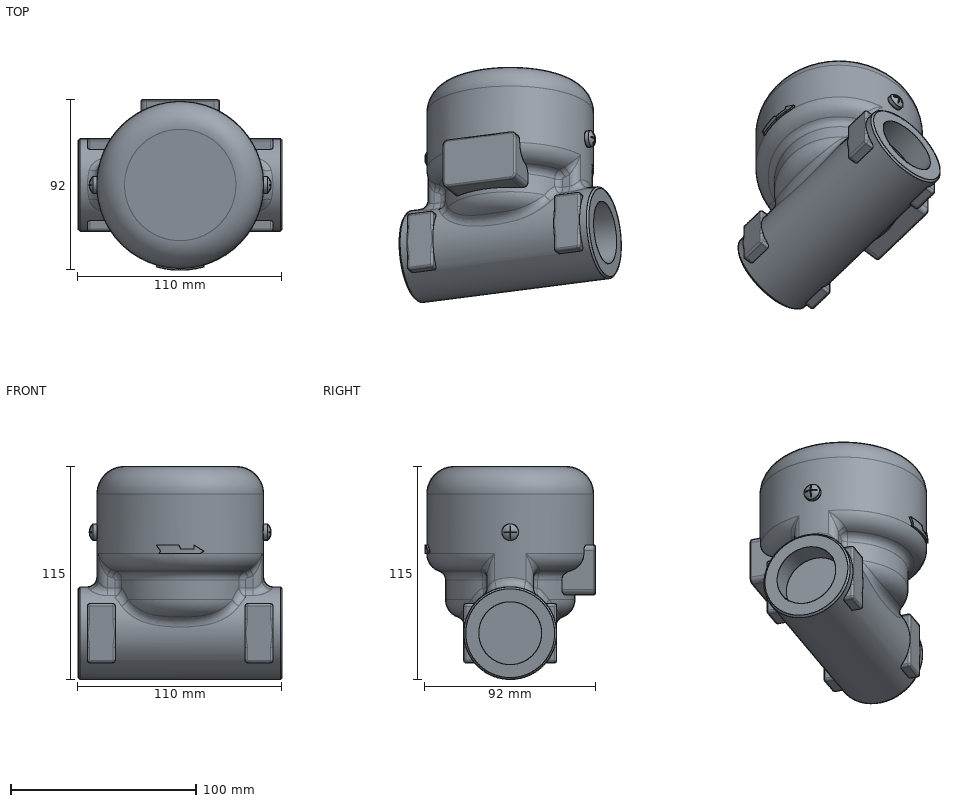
import cadquery as cq
import math


PIPE_LENGTH = 110.0
PIPE_RADIUS = 50.0 / 2
PIPE_CHAMFER = 1.0
BORE_DIAMETER = 33.9
BORE_DEPTH = 13.8

TOP_Z = 115 - PIPE_RADIUS
COVER_RADIUS = 90.0 / 2
COVER_ROUNDING = 15.0
BOWL_BOTTOM_Z = 42.9
NECK_RADIUS = 35.0
NECK_BOTTOM_Z = 18.2
BOWL_ROUNDING = 10.0
FOOT_WRAP = math.radians(30)
BLEND_RADIUS = BOWL_ROUNDING / 2

RIB_WIDTH = 25.1
RIB_TOP_Z = 49.6
RIB_NECK_BLEND = 4.0

PAD_LENGTH = 15.1
PAD_HEIGHT = 32.0
PAD_CENTRE_X = 42.5
PAD_SPAN = 50.1
PAD_CORNER_RADIUS = 1.5
PAD_ROUNDING = 1.3

BOSS_WIDTH = 42.3
BOSS_FACE_Y = 46.0
BOSS_BOTTOM_Z = 20.7
BOSS_TOP_Z = 47.6
BOSS_CORNER_RADIUS = 3.0
BOSS_EDGE_ROUNDING = 1.0

ARROW_RADIUS = 46.0
ARROW_Z = 44.3
ARROW_HALF_HEIGHT = 3.3
ARROW_SHAFT_HALF_HEIGHT = 1.3
ARROW_TAIL_X = -12.9
ARROW_NOTCH_X = -10.6
ARROW_FEATHER_END_X = -0.8
ARROW_SHAFT_START_X = 0.2
ARROW_HEAD_X = 7.4
ARROW_TIP_X = 12.8

SCREW_Z = 54.5
SCREW_RADIUS = 9.0 / 2
SCREW_SEAT_X = 44.7
SCREW_RIM_X = 47.0
SCREW_TIP_X = 49.1
SLOT_WIDTH = 0.5
SLOT_DEPTH = 1.0

SEAM_TOLERANCE = 0.02
RIM_TOLERANCE = 0.001


def along_x(radius, start_x, end_x, z=0.0):
    """Cylinder whose axis runs along X."""
    return cq.Workplane("YZ", origin=(start_x, 0, z)).circle(radius).extrude(end_x - start_x)


def make_chamber():
    """Domed chamber with its bowl, neck and rounded foot, turned around Z."""
    bowl_centre_r = COVER_RADIUS - BOWL_ROUNDING
    blend_centre_r = NECK_RADIUS + BLEND_RADIUS
    step_r = blend_centre_r - bowl_centre_r
    step_z = math.sqrt((BOWL_ROUNDING + BLEND_RADIUS) ** 2 - step_r**2)
    blend_centre_z = BOWL_BOTTOM_Z - step_z
    share = BOWL_ROUNDING / (BOWL_ROUNDING + BLEND_RADIUS)
    meeting_r = bowl_centre_r + share * step_r
    meeting_z = BOWL_BOTTOM_Z - share * step_z
    foot_end_r = NECK_RADIUS - BOWL_ROUNDING - BOWL_ROUNDING * math.sin(FOOT_WRAP)
    foot_end_z = NECK_BOTTOM_Z - BOWL_ROUNDING * math.cos(FOOT_WRAP)
    return (
        cq.Workplane("XZ")
        .moveTo(0, TOP_Z)
        .lineTo(COVER_RADIUS - COVER_ROUNDING, TOP_Z)
        .tangentArcPoint((COVER_RADIUS, TOP_Z - COVER_ROUNDING), relative=False)
        .lineTo(COVER_RADIUS, BOWL_BOTTOM_Z)
        .tangentArcPoint((meeting_r, meeting_z), relative=False)
        .tangentArcPoint((NECK_RADIUS, blend_centre_z), relative=False)
        .lineTo(NECK_RADIUS, NECK_BOTTOM_Z)
        .radiusArc((foot_end_r, foot_end_z), BOWL_ROUNDING)
        .lineTo(0, foot_end_z)
        .close()
        .revolve(360, (0, 0, 0), (0, 1, 0))
    )


def make_ribs():
    """Both ribs as one bar across the chamber, with its ends on the cover radius."""
    bar = cq.Workplane("XY").box(2 * COVER_RADIUS, RIB_WIDTH, RIB_TOP_Z, (True, True, False))
    drum = cq.Workplane("XY").circle(COVER_RADIUS).extrude(RIB_TOP_Z)
    return bar.intersect(drum).edges("|Z").fillet(BLEND_RADIUS)


def make_pipe():
    """Solid pipe bar with chamfered ends."""
    return along_x(PIPE_RADIUS, -PIPE_LENGTH / 2, PIPE_LENGTH / 2).edges().chamfer(PIPE_CHAMFER)


def make_pad(side):
    """Bar through one pipe end, whose two faces are the front and back wrench pads."""
    pad = cq.Workplane("XY").box(PAD_LENGTH, PAD_SPAN, PAD_HEIGHT).edges("|Y").fillet(PAD_CORNER_RADIUS)
    return pad.translate((side * PAD_CENTRE_X, 0, 0))


def make_boss():
    """Rounded nameplate block that stands out behind the chamber."""
    boss = (
        cq.Workplane("XZ")
        .rect(BOSS_WIDTH, BOSS_TOP_Z - BOSS_BOTTOM_Z)
        .extrude(-BOSS_FACE_Y)
        .edges("|Y")
        .fillet(BOSS_CORNER_RADIUS)
        .faces(">Y")
        .edges()
        .fillet(BOSS_EDGE_ROUNDING)
    )
    return boss.translate((0, 0, (BOSS_TOP_Z + BOSS_BOTTOM_Z) / 2))


def make_arrow():
    """Flow arrow that follows the round wall and ends where the bowl starts to curve in."""
    outline = (
        cq.Workplane("XZ", origin=(0, 0, ARROW_Z))
        .moveTo(ARROW_NOTCH_X, 0)
        .lineTo(ARROW_TAIL_X, ARROW_HALF_HEIGHT)
        .lineTo(ARROW_FEATHER_END_X, ARROW_HALF_HEIGHT)
        .lineTo(ARROW_SHAFT_START_X, ARROW_SHAFT_HALF_HEIGHT)
        .lineTo(ARROW_HEAD_X, ARROW_SHAFT_HALF_HEIGHT)
        .lineTo(ARROW_HEAD_X, ARROW_HALF_HEIGHT)
        .lineTo(ARROW_TIP_X, 0)
        .mirrorX()
        .extrude(ARROW_RADIUS)
    )
    band = (
        cq.Workplane("XY", origin=(0, 0, BOWL_BOTTOM_Z))
        .circle(ARROW_RADIUS)
        .extrude(2 * ARROW_HALF_HEIGHT)
    )
    return outline.intersect(band)


def is_pipe_seam(edge):
    """True for the seams where the chamber and the ribs run into the pipe."""
    distances = [math.hypot(point.y, point.z) for point in edge.positions((0, 0.3, 0.7))]
    in_seam_place = abs(edge.Center().x) < COVER_RADIUS + SEAM_TOLERANCE and edge.Center().z > 0
    return in_seam_place and all(abs(distance - PIPE_RADIUS) < SEAM_TOLERANCE for distance in distances)


def is_neck_seam(edge):
    """True for the upright seams where the ribs run into the neck."""
    middle = edge.Center()
    return abs(math.hypot(middle.x, middle.y) - NECK_RADIUS) < SEAM_TOLERANCE


def is_pad_rim(edge):
    """True for the edges around the flat faces of the pads."""
    return all(abs(abs(point.y) - PAD_SPAN / 2) < RIM_TOLERANCE for point in edge.positions((0, 0.5, 1)))


def make_main_casting():
    """Chamber, ribs and pipe with blended seams."""
    casting = make_chamber().union(make_ribs()).union(make_pipe())
    casting = casting.edges("|Z").filter(is_neck_seam).fillet(RIB_NECK_BLEND)
    return casting.edges().filter(is_pipe_seam).fillet(BLEND_RADIUS)


def make_housing():
    """Casting with its pads, boss and arrow, its bores and the seats of the screws."""
    housing = make_main_casting()
    for side in (-1, 1):
        housing = housing.union(make_pad(side))
    housing = housing.edges().filter(is_pad_rim).fillet(PAD_ROUNDING)
    housing = housing.union(make_boss()).union(make_arrow())
    for side in (-1, 1):
        end_x = side * PIPE_LENGTH / 2
        housing = housing.cut(along_x(BORE_DIAMETER / 2, end_x, end_x - side * BORE_DEPTH))
        housing = housing.cut(along_x(SCREW_RADIUS, side * SCREW_SEAT_X, side * SCREW_TIP_X, SCREW_Z))
    return housing


def make_screw(side):
    """Domed screw head with a cross slot."""
    dome_height = SCREW_TIP_X - SCREW_RIM_X
    dome_radius = (SCREW_RADIUS**2 + dome_height**2) / (2 * dome_height)
    head = (
        cq.Workplane("XY")
        .moveTo(SCREW_SEAT_X, 0)
        .lineTo(SCREW_SEAT_X, SCREW_RADIUS)
        .lineTo(SCREW_RIM_X, SCREW_RADIUS)
        .radiusArc((SCREW_TIP_X, 0), dome_radius)
        .close()
        .revolve(360, (0, 0, 0), (1, 0, 0))
    )
    slot_floor = SCREW_TIP_X - SLOT_DEPTH
    slot = cq.Workplane("XY", origin=(slot_floor + SLOT_DEPTH / 2, 0, 0))
    head = head.cut(slot.box(SLOT_DEPTH, 2 * SCREW_RADIUS, SLOT_WIDTH))
    head = head.cut(slot.box(SLOT_DEPTH, SLOT_WIDTH, 2 * SCREW_RADIUS))
    if side < 0:
        head = head.mirror("YZ")
    return head.translate((0, 0, SCREW_Z))


housing = make_housing()
screws = [make_screw(side) for side in (-1, 1)]
result = cq.Compound.makeCompound([housing.val(), *[screw.val() for screw in screws]])